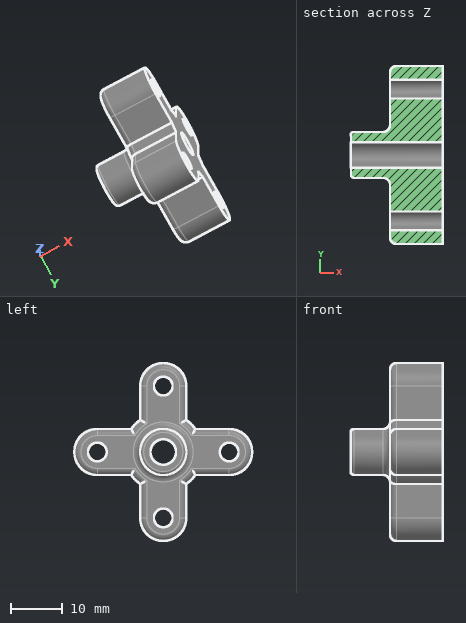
import cadquery as cq

span = 34.3
total_depth = 17.8
boss_length = 7.58
plate_thickness = total_depth - boss_length

arm_width = 8.9
arm_radius = arm_width / 2
tip_offset = span / 2 - arm_radius
hub_radius = 7.6
plate_edge_radius = 1.3
arm_hole_diameter = 3.55

boss_diameter = 8.9
boss_edge_radius = 0.7
boss_root_radius = 1.3
bore_diameter = 4.87


def make_plate():
    """Four-armed plate from X = 0 to plate_thickness, rounded on its -X face."""
    yz = cq.Workplane("YZ")
    plate = yz.slot2D(span, arm_width).extrude(plate_thickness)
    plate = plate.union(yz.slot2D(span, arm_width, 90).extrude(plate_thickness))

    hub = yz.circle(hub_radius).extrude(plate_thickness)
    plate = plate.union(hub).clean()
    return plate.faces("<X").edges().fillet(plate_edge_radius)


def make_boss():
    """Round boss on the -X face, with a rounded end and a flared root."""
    boss_radius = boss_diameter / 2
    boss = (
        cq.Workplane("YZ")
        .circle(boss_radius)
        .extrude(-boss_length)
        .faces("<X")
        .edges()
        .fillet(boss_edge_radius)
    )
    flare = (
        cq.Workplane("XY")
        .lineTo(-boss_root_radius, 0)
        .lineTo(-boss_root_radius, boss_radius)
        .radiusArc((0, boss_radius + boss_root_radius), -boss_root_radius)
        .close()
        .revolve(360, (0, 0, 0), (1, 0, 0))
    )
    return boss.union(flare)


def make_through_holes():
    """Cutters for the central bore and the hole in each arm tip."""
    plane = cq.Workplane("YZ", origin=(-boss_length, 0, 0))
    bore = plane.circle(bore_diameter / 2).extrude(total_depth)
    arm_holes = (
        plane.polarArray(tip_offset, 0, 360, 4)
        .circle(arm_hole_diameter / 2)
        .extrude(total_depth)
    )
    return bore.union(arm_holes)


result = make_plate().union(make_boss()).cut(make_through_holes())